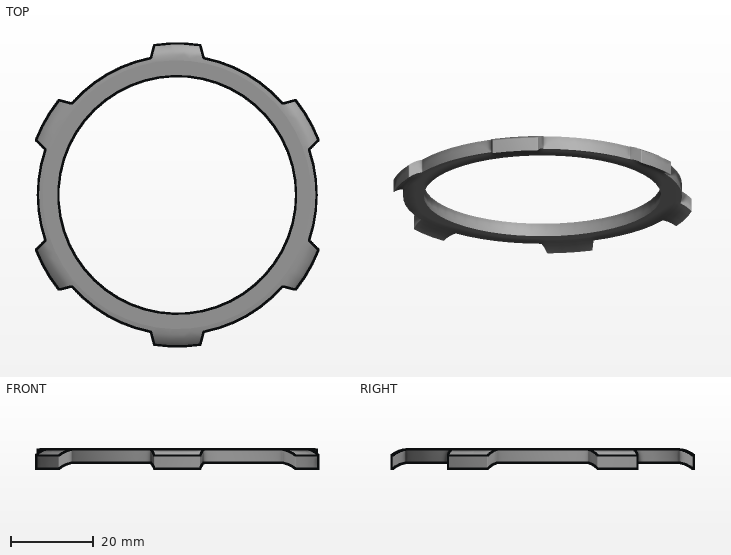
import cadquery as cq
import math

bore_diameter = 57.5
ring_diameter = 67.55
thickness = 3.2

tab_count = 6
tip_diameter = 73.4
flat_diameter = 65.05
total_height = 4.8
tip_half_width = 5.6
tab_side_angle = 15.0
corner_fillet = 0.2

tip_clearance = 0.7

bore_radius = bore_diameter / 2
ring_radius = ring_diameter / 2
tip_radius = tip_diameter / 2
flat_radius = flat_diameter / 2

tip_drop = total_height - thickness
curve_length = tip_radius - flat_radius
curve_radius = (curve_length**2 + tip_drop**2) / (2 * tip_drop)


def drop_at(radius):
    """Height lost by the curve at a given distance from the axis."""
    return curve_radius - math.sqrt(curve_radius**2 - (radius - flat_radius)**2)


def curved_disc():
    """Washer of constant vertical thickness with a downturned rim."""
    top = total_height
    bottom = tip_drop
    middle_radius = (flat_radius + tip_radius) / 2
    middle_drop = drop_at(middle_radius)
    return (
        cq.Workplane("XZ")
        .moveTo(bore_radius, bottom)
        .lineTo(flat_radius, bottom)
        .threePointArc((middle_radius, bottom - middle_drop), (tip_radius, 0))
        .lineTo(tip_radius, thickness)
        .threePointArc((middle_radius, top - middle_drop), (flat_radius, top))
        .lineTo(bore_radius, top)
        .close()
        .revolve(360, (0, 0, 0), (0, 1, 0))
    )


def tab_sector():
    """Tapered block outlining one tab, on the +Y side."""
    tip_corner_y = math.sqrt(tip_radius**2 - tip_half_width**2)
    taper = math.tan(math.radians(tab_side_angle))

    def half_width(y):
        return tip_half_width + (tip_corner_y - y) * taper

    inner_y = (bore_radius + flat_radius) / 2
    outer_y = tip_radius + tip_clearance
    return (
        cq.Workplane("XY")
        .polyline([
            (-half_width(inner_y), inner_y),
            (half_width(inner_y), inner_y),
            (half_width(outer_y), outer_y),
            (-half_width(outer_y), outer_y),
        ])
        .close()
        .extrude(total_height)
    )


outline = cq.Workplane("XY").circle(ring_radius).extrude(total_height)
for index in range(tab_count):
    outline = outline.union(tab_sector().rotate((0, 0, 0), (0, 0, 1), index * 360 / tab_count))

outline = outline.intersect(cq.Workplane("XY").circle(tip_radius).extrude(total_height))
outline = outline.edges("|Z").fillet(corner_fillet)

result = curved_disc().intersect(outline)